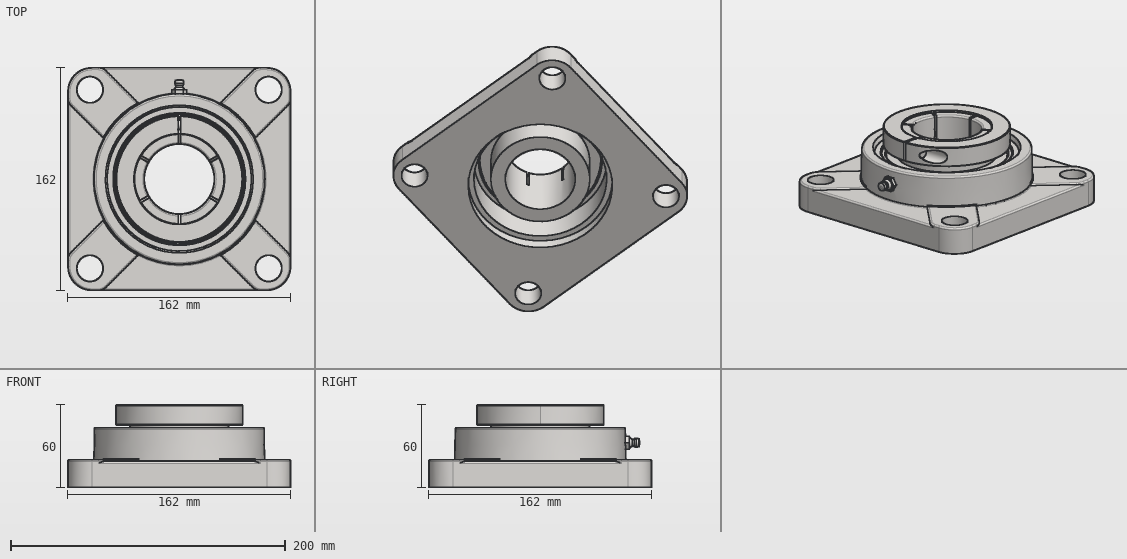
import cadquery as cq
import math

FLANGE_SIDE = 162.0
FLANGE_TOP = 18.8
CORNER_RADIUS = 17.5
RIM_ROUNDING = 1.3
PAD_TOP = 20.1
PAD_HALF_WIDTH = 18.0
PAD_BLEND_RADIUS = 8.1
PAD_ROUNDING = 1.3
BOLT_OFFSET = 65.0
BOLT_HOLE_DIAMETER = 19.0

HUB_TOP = 43.4
HUB_BASE_RADIUS = 62.4
HUB_TOP_RADIUS = 61.9
HUB_ROUNDING = 1.3
HUB_FOOT_RADIUS = 0.6

SEAT_DIAMETER = 109.2
RING_END_DIAMETER = 104.8
RING_TOP = 39.9
RING_HALF_WIDTH = math.sqrt(SEAT_DIAMETER**2 - RING_END_DIAMETER**2) / 2
BEARING_CENTRE = RING_TOP - RING_HALF_WIDTH
RING_BOTTOM = BEARING_CENTRE - RING_HALF_WIDTH
RING_BORE_DIAMETER = 96.5
HUB_MOUTH_DIAMETER = 107.5

SEAL_BORE_DIAMETER = 90.0
SEAL_TOP = 38.7
SEAL_CHAMFER = 1.0
SEAL_THICKNESS = 4.0
SLINGER_DIAMETER = 88.0
SLINGER_TOP = 37.3
SLINGER_THICKNESS = 2.6

BORE_DIAMETER = 50.9
RACE_DIAMETER = 72.0
SLEEVE_DIAMETER = 66.1
SLEEVE_TOP = 58.8
SLEEVE_BORE_ROUNDING = 1.3
SLEEVE_EDGE_CHAMFER = 0.5
SLOT_COUNT = 6
SLOT_WIDTH = 1.8
SLOT_DEPTH_AT_BORE = 17.8
SLOT_FLOOR_ANGLE = 45.0

COLLAR_DIAMETER = 92.3
COLLAR_BOTTOM = 45.2
COLLAR_TOP = 60.0
COLLAR_CHAMFER = 0.5

SCREW_Y = 39.4
SCREW_Z = (COLLAR_BOTTOM + COLLAR_TOP) / 2
SCREW_DIAMETER = 6.5
SCREW_TIP_X = 11.7
SCREW_HEAD_DIAMETER = 8.1
SCREW_HEAD_LENGTH = 5.7
COUNTERBORE_DIAMETER = 10.0
COUNTERBORE_FLOOR_X = -5.7

FITTING_Z = 32.4
STEM_DIAMETER = 4.9
STEM_START = 58.3
HEX_ACROSS_CORNERS = 11.2
HEX_START = 60.8
HEX_END = 64.8
CONE_BASE_DIAMETER = 8.1
NECK_DIAMETER = 4.9
NECK_START = 66.9
NECK_END = 68.4
NIPPLE_DIAMETER = 6.0
FLARE_DIAMETER = 6.5
FLARE_Y = 69.7
NIPPLE_END = 71.8
TIP_DIAMETER = 2.0
TIP_END = 72.3


def cylinder(diameter, bottom, top):
    return cq.Workplane("XY", origin=(0, 0, bottom)).circle(diameter / 2).extrude(top - bottom)


def tube(outer_diameter, inner_diameter, bottom, top):
    return cylinder(outer_diameter, bottom, top).cut(cylinder(inner_diameter, bottom, top))


def turned_about_z(profile):
    return cq.Workplane("YZ").polyline(profile).close().revolve(360, (0, 0), (0, 1))


def turn_copies(shape, count):
    return [shape.rotate((0, 0, 0), (0, 0, 1), i * 360 / count) for i in range(count)]


def make_ball():
    return cq.Workplane("XY", origin=(0, 0, BEARING_CENTRE)).sphere(SEAT_DIAMETER / 2)



def make_flange():
    flange = cq.Workplane("XY").rect(FLANGE_SIDE, FLANGE_SIDE).extrude(FLANGE_TOP)
    flange = flange.edges("|Z").fillet(CORNER_RADIUS)
    return flange.faces(">Z").edges().fillet(RIM_ROUNDING)


def make_pad(top):
    """Diagonal strip from the hub to the +X +Y corner, with rounded outline."""
    side = FLANGE_SIDE / 2
    reach = PAD_HALF_WIDTH * math.sqrt(2)
    outline = [(reach, 0), (side, side - reach), (side, side), (side - reach, side), (0, reach)]
    pad = cq.Workplane("XY").polyline(outline).close().extrude(top)
    pad = pad.edges("(|Z and (>X or >Y)) exc >(1,1,0)").fillet(PAD_BLEND_RADIUS)
    return pad.edges("|Z and >(1,1,0)").fillet(CORNER_RADIUS)


def make_hub():
    hub = turned_about_z([
        (0, 0),
        (HUB_BASE_RADIUS, 0),
        (HUB_BASE_RADIUS, FLANGE_TOP),
        (HUB_TOP_RADIUS, HUB_TOP),
        (0, HUB_TOP),
    ])
    return hub.faces(">Z").edges().fillet(HUB_ROUNDING)


def make_hub_foot(level):
    """Ring with a concave outside that rounds the corner between the hub and a flat face."""
    inner = HUB_BASE_RADIUS - HUB_FOOT_RADIUS
    outer = HUB_BASE_RADIUS + HUB_FOOT_RADIUS
    sag = HUB_FOOT_RADIUS * (1 - math.sqrt(0.5))
    foot = (
        cq.Workplane("YZ")
        .moveTo(inner, level)
        .lineTo(outer, level)
        .threePointArc((HUB_BASE_RADIUS + sag, level + sag), (HUB_BASE_RADIUS, level + HUB_FOOT_RADIUS))
        .lineTo(inner, level + HUB_FOOT_RADIUS)
        .close()
    )
    return foot.revolve(360, (0, 0), (0, 1))


def make_bearing_seat():
    bottom_bore = cylinder(RING_END_DIAMETER, 0, BEARING_CENTRE)
    mouth = turned_about_z([
        (0, RING_TOP),
        (RING_END_DIAMETER / 2, RING_TOP),
        (HUB_MOUTH_DIAMETER / 2, HUB_TOP),
        (0, HUB_TOP),
    ])
    ball = make_ball().intersect(cylinder(SEAT_DIAMETER, RING_BOTTOM, RING_TOP))
    return bottom_bore.union(ball).union(mouth)


def make_housing(fitting):
    pad = make_pad(PAD_TOP).faces(">Z").edges().fillet(PAD_ROUNDING)
    pad_foot = make_hub_foot(PAD_TOP).intersect(make_pad(HUB_TOP))
    body = make_flange().union(make_hub()).union(make_hub_foot(FLANGE_TOP))
    for copy in turn_copies(pad, 4) + turn_copies(pad_foot, 4):
        body = body.union(copy)
    bolt_holes = cq.Workplane("XY").rect(2 * BOLT_OFFSET, 2 * BOLT_OFFSET, forConstruction=True)
    bolt_holes = bolt_holes.vertices().circle(BOLT_HOLE_DIAMETER / 2).extrude(PAD_TOP)
    return body.cut(bolt_holes).cut(make_bearing_seat()).cut(fitting)



def make_outer_ring():
    ring = tube(SEAT_DIAMETER, RING_BORE_DIAMETER, RING_BOTTOM, RING_TOP)
    return ring.intersect(make_ball())


def make_seal():
    bottom = SEAL_TOP - SEAL_THICKNESS
    outside = cylinder(RING_BORE_DIAMETER, bottom, SEAL_TOP).faces(">Z").edges().chamfer(SEAL_CHAMFER)
    return outside.cut(cylinder(SEAL_BORE_DIAMETER, bottom, SEAL_TOP))


def make_slinger():
    return tube(SLINGER_DIAMETER, RACE_DIAMETER, SLINGER_TOP - SLINGER_THICKNESS, SLINGER_TOP)


def make_sleeve_slot():
    """Radial slot towards +Y whose floor rises outwards, so it stays inside the race."""
    bore_radius = BORE_DIAMETER / 2
    floor_at_bore = SLEEVE_TOP - SLOT_DEPTH_AT_BORE
    slope = math.tan(math.radians(SLOT_FLOOR_ANGLE))
    floor_at_rim = floor_at_bore + slope * (RACE_DIAMETER / 2 - bore_radius)
    floor_at_axis = floor_at_bore - slope * bore_radius
    side = [
        (0, floor_at_axis),
        (RACE_DIAMETER / 2, floor_at_rim),
        (RACE_DIAMETER / 2, SLEEVE_TOP),
        (0, SLEEVE_TOP),
    ]
    return cq.Workplane("YZ").polyline(side).close().extrude(SLOT_WIDTH / 2, both=True)


def make_inner_ring():
    sleeve = cylinder(SLEEVE_DIAMETER, COLLAR_BOTTOM, SLEEVE_TOP)
    sleeve = sleeve.faces(">Z").edges().chamfer(SLEEVE_EDGE_CHAMFER)
    ring = cylinder(RACE_DIAMETER, RING_BOTTOM, COLLAR_BOTTOM).union(sleeve)
    ring = ring.cut(cylinder(BORE_DIAMETER, RING_BOTTOM, SLEEVE_TOP))
    ring = ring.faces(">Z").edges(cq.selectors.RadiusNthSelector(0)).fillet(SLEEVE_BORE_ROUNDING)
    for slot in turn_copies(make_sleeve_slot(), SLOT_COUNT):
        ring = ring.cut(slot)
    return ring



def x_cylinder(diameter, start, end):
    return cq.Workplane("YZ", origin=(start, SCREW_Y, SCREW_Z)).circle(diameter / 2).extrude(end - start)


def make_collar():
    collar = cylinder(COLLAR_DIAMETER, COLLAR_BOTTOM, COLLAR_TOP).edges().chamfer(COLLAR_CHAMFER)
    split_length = COLLAR_DIAMETER / 2
    split = cq.Workplane("XY", origin=(0, split_length / 2, COLLAR_BOTTOM))
    split = split.rect(SLOT_WIDTH, split_length).extrude(COLLAR_TOP - COLLAR_BOTTOM)
    collar = collar.cut(cylinder(SLEEVE_DIAMETER, COLLAR_BOTTOM, COLLAR_TOP)).cut(split)
    counterbore = x_cylinder(COUNTERBORE_DIAMETER, -COLLAR_DIAMETER / 2, COUNTERBORE_FLOOR_X)
    shank_hole = x_cylinder(SCREW_DIAMETER, COUNTERBORE_FLOOR_X, SCREW_TIP_X)
    return collar.cut(counterbore).cut(shank_hole)


def make_screw():
    head_face = COUNTERBORE_FLOOR_X - SCREW_HEAD_LENGTH
    head = x_cylinder(SCREW_HEAD_DIAMETER, head_face, COUNTERBORE_FLOOR_X)
    return head.union(x_cylinder(SCREW_DIAMETER, COUNTERBORE_FLOOR_X, SCREW_TIP_X))



def make_fitting():
    hexagon = cq.Workplane("XZ", origin=(0, HEX_END, FITTING_Z))
    hexagon = hexagon.polygon(6, HEX_ACROSS_CORNERS).extrude(HEX_END - HEX_START)
    profile = [
        (0, STEM_START),
        (STEM_DIAMETER / 2, STEM_START),
        (STEM_DIAMETER / 2, HEX_END),
        (CONE_BASE_DIAMETER / 2, HEX_END),
        (NECK_DIAMETER / 2, NECK_START),
        (NECK_DIAMETER / 2, NECK_END),
        (NIPPLE_DIAMETER / 2, NECK_END),
        (FLARE_DIAMETER / 2, FLARE_Y),
        (NIPPLE_DIAMETER / 2, NIPPLE_END),
        (TIP_DIAMETER / 2, TIP_END),
        (0, TIP_END),
    ]
    turned = cq.Workplane("XY", origin=(0, 0, FITTING_Z)).polyline(profile).close()
    return hexagon.union(turned.revolve(360, (0, 0), (0, 1)))


fitting = make_fitting()
housing = make_housing(fitting)
outer_ring = make_outer_ring()
seal = make_seal()
slinger = make_slinger()
inner_ring = make_inner_ring()
collar = make_collar()
screw = make_screw()

result = cq.Compound.makeCompound([
    housing.val(),
    outer_ring.val(),
    seal.val(),
    slinger.val(),
    inner_ring.val(),
    collar.val(),
    screw.val(),
    fitting.val(),
])